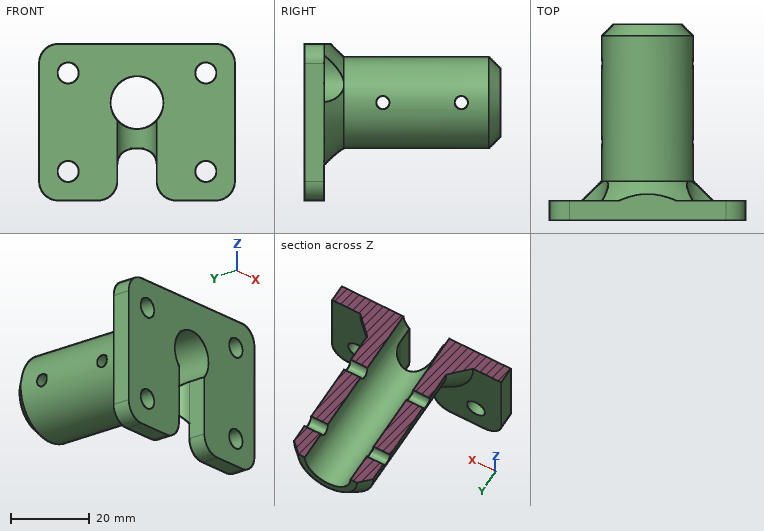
import cadquery as cq

plate_width = 50.0
plate_height = 40.0
plate_thickness = 5.0
corner_radius = 5.0
bolt_diameter = 5.3
bolt_inset = 7.45
bolt_head_radius = 7.5

total_length = 50.0
shaft_diameter = 23.4
bore_diameter = 13.4
shaft_z = 25.0
end_chamfer = 3.0
flare = 5.0

slot_width = 10.0

pin_diameter = 3.3
pin_positions = (20.0, 40.0)


def cylinder_y(diameter, x, z, start, length):
    """Cylinder along +Y, starting at y = start."""
    return cq.Workplane(cq.Solid.makeCylinder(
        diameter / 2, length, cq.Vector(x, start, z), cq.Vector(0, 1, 0)))


def make_plate():
    plate = cq.Workplane("XY").box(
        plate_width, plate_thickness, plate_height, centered=(True, False, False))
    notch = cq.Workplane("XY").box(
        slot_width, plate_thickness, shaft_z, centered=(True, False, False))
    return plate.cut(notch).edges("|Y and (<Z or >Z)").fillet(corner_radius)


def make_shaft():
    shaft = cylinder_y(shaft_diameter, 0, shaft_z, 0, total_length)
    return shaft.faces(">Y").chamfer(end_chamfer)


def make_flare():
    shaft_radius = shaft_diameter / 2
    cone = cq.Workplane(cq.Solid.makeCone(
        shaft_radius + flare, shaft_radius, flare,
        cq.Vector(0, plate_thickness, shaft_z), cq.Vector(0, 1, 0)))
    envelope = cq.Workplane("XY").box(
        plate_width, total_length, plate_height, centered=(True, False, False))
    return cone.intersect(envelope)


def make_slot():
    half_width = slot_width / 2
    return (
        cq.Workplane("XY")
        .moveTo(-half_width, 0)
        .lineTo(-half_width, plate_thickness)
        .threePointArc((0, plate_thickness + half_width), (half_width, plate_thickness))
        .lineTo(half_width, 0)
        .close()
        .extrude(shaft_z)
    )


bolt_x = plate_width / 2 - bolt_inset
bolt_heights = (bolt_inset, plate_height - bolt_inset)
bolt_places = [(x, z) for x in (-bolt_x, bolt_x) for z in bolt_heights]

result = make_plate().union(make_shaft()).union(make_flare())
result = result.cut(make_slot())
result = result.cut(cylinder_y(bore_diameter, 0, shaft_z, 0, total_length))

for x, z in bolt_places:
    result = result.cut(cylinder_y(bolt_diameter, x, z, 0, plate_thickness))
    result = result.cut(cylinder_y(2 * bolt_head_radius, x, z, plate_thickness, flare))

for y in pin_positions:
    pin_hole = cq.Solid.makeCylinder(
        pin_diameter / 2, shaft_diameter,
        cq.Vector(-shaft_diameter / 2, y, shaft_z), cq.Vector(1, 0, 0))
    result = result.cut(cq.Workplane(pin_hole))